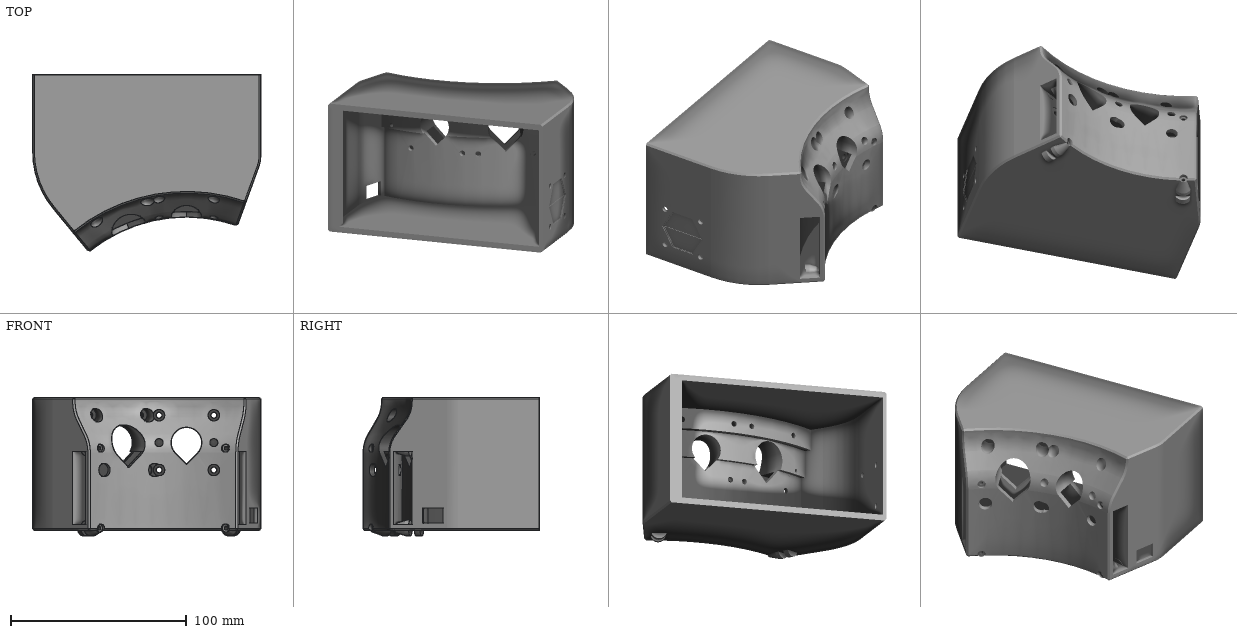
import cadquery as cq
import math


body_width = 129.8
body_height = 75.7
left_x = -87.5
right_x = left_x + body_width
back_y = 168.6
left_angle = 39.5
right_angle = 20.0
left_inset = 0.3
right_inset = 1.0
left_corner_radius = 50.1
right_corner_radius = 18.2
edge_chamfer = 1.0

front_radius = 87.5
brow_angle = 37.0
brow_start = 44.1
brow_arc_height = 10.3
brow_straight_height = 9.0

wall = 2.0
floor_thickness = 3.4
cavity_inner_radius = 90.6
cavity_outer_radius = 102.0
cavity_top = 44.8
rear_wall_radius = 105.1
rear_brow_radius = 107.7
rear_crown_radius = 111.6
crown_start = 60.4

lens_height = 50.0
camera_hole_pitch = 31.1
camera_screw_diameter = 3.2
lower_seat = 101.2
upper_seat = 107.7
main_lens_diameter = 17.3
main_counterbore = 6.5
angled_lens_diameter = 20.1
angled_counterbore = 7.5
angled_camera_angle = 22.0
locating_hole_diameter = 4.5
locating_hole_end = 93.5

boss_diameter = 9.0
boss_drop = 3.1
boss_height_pitch = 45.4
boss_tip_diameter = 3.9
boss_full_radius = 96.0
boss_end = 98.4
boss_rear_start = 101.8
boss_angles = (33.7, -14.6)
boss_counterbore = 4.5
boss_counterbore_end = 89.5
boss_pilot = 2.2

fan_y = back_y - 25.0
fan_height = 23.9
fan_hole_pitch = 24.0
fan_hole_diameter = 3.4
hexagon_across_flats = 24.0
hexagon_depth = 0.3
panel_depth = 0.3
panel_inset = 0.9
panel_bar = 0.4

port_start = 108.2
port_end = 120.7
port_bottom = 4.2
port_top = 12.7

post_width = 5.2

CUT_EXTRA = 6.5


def cheek_x(y, angle, inset):
    """Distance of a side cheek from the Y axis at a given y."""
    a = math.radians(angle)
    return y * math.tan(a) - inset / math.cos(a)


def cheek_y(x, angle, inset):
    """The y at which a side cheek reaches a given distance from the Y axis."""
    a = math.radians(angle)
    return (x + inset / math.cos(a)) / math.tan(a)


def footprint(end_y):
    """Plan outline, with its straight back edge at end_y."""
    nose_y = front_radius / 2
    left_corner = (left_x, cheek_y(-left_x, left_angle, left_inset))
    right_corner = (right_x, cheek_y(right_x, right_angle, right_inset))
    block = (
        cq.Workplane("XY")
        .moveTo(left_x, end_y)
        .lineTo(*left_corner)
        .lineTo(-cheek_x(nose_y, left_angle, left_inset), nose_y)
        .lineTo(cheek_x(nose_y, right_angle, right_inset), nose_y)
        .lineTo(*right_corner)
        .lineTo(right_x, end_y)
        .close()
        .extrude(body_height)
    )
    for corner, radius in ((left_corner, left_corner_radius), (right_corner, right_corner_radius)):
        block = block.edges(cq.selectors.NearestToPointSelector((*corner, body_height / 2))).fillet(radius)
    return block


def front_cutter():
    """Solid of revolution in front of the body, bounded by the S-shaped profile."""
    a = math.radians(brow_angle)
    arc_radius = brow_arc_height / math.sin(a)
    arc_step = arc_radius * (1 - math.cos(a))
    half_height = arc_radius * math.sin(a / 2)
    half_step = arc_radius * (1 - math.cos(a / 2))
    r1 = front_radius + arc_step
    r2 = r1 + brow_straight_height * math.tan(a)
    r3 = r2 + arc_step
    z1 = brow_start + brow_arc_height
    z2 = z1 + brow_straight_height
    z3 = z2 + brow_arc_height
    return (
        cq.Workplane("XZ")
        .lineTo(front_radius, 0)
        .lineTo(front_radius, brow_start)
        .threePointArc((front_radius + half_step, brow_start + half_height), (r1, z1))
        .lineTo(r2, z2)
        .threePointArc((r3 - half_step, z3 - half_height), (r3, z3))
        .lineTo(r3, body_height)
        .lineTo(0, body_height)
        .close()
        .revolve(360, (0, 0, 0), (0, 1, 0))
    )


def ring(inner, outer, bottom, top):
    """Upright tube around the axis."""
    return cq.Workplane("XY").workplane(offset=bottom).circle(outer).circle(inner).extrude(top - bottom)


def radial_pin(diameter, start, end, x, z, angle=0.0):
    """Round bar parallel to the +Y direction turned by angle about the axis."""
    bar = cq.Workplane("XZ", origin=(x, start, z)).circle(diameter / 2).extrude(start - end)
    return bar.rotate((0, 0, 0), (0, 0, 1), angle)


def teardrop(radius, angle):
    """Lens opening: a circle with a 45 degree point at its lower end."""
    side = radius / math.sqrt(2)
    cut = (
        cq.Workplane("XZ", origin=(0, front_radius / 2, lens_height))
        .moveTo(-side, -side)
        .threePointArc((0, radius), (side, -side))
        .lineTo(0, -2 * side)
        .close()
        .extrude(-front_radius)
    )
    return cut.rotate((0, 0, 0), (0, 0, 1), angle)


def camera_station(lens_diameter, counterbore, angle):
    """Lens opening and its four counterbored screw holes."""
    cut = teardrop(lens_diameter / 2, angle)
    half = camera_hole_pitch / 2
    screw_end = rear_crown_radius + CUT_EXTRA
    for x in (-half, half):
        for z, seat in ((lens_height - half, lower_seat), (lens_height + half, upper_seat)):
            cut = cut.union(radial_pin(counterbore, front_radius / 2, seat, x, z, angle))
            cut = cut.union(radial_pin(camera_screw_diameter, seat, screw_end, x, z, angle))
    return cut


def interior():
    """Main chamber behind the rear wall, open at the back."""
    outline = footprint(back_y + wall).faces("<Z").wires().toPending().offset2D(-wall)
    chamber = outline.extrude(body_height - 2 * floor_thickness, combine=False)
    chamber = chamber.translate((0, 0, floor_thickness))
    steps = ((rear_wall_radius, 0), (rear_brow_radius, cavity_top), (rear_crown_radius, crown_start))
    for radius, start in steps:
        chamber = chamber.cut(cq.Workplane("XY").workplane(offset=start).circle(radius).extrude(body_height))
    return chamber


def fan_panel(direction):
    """Trapezoid above (+1) or below (-1) the bar across the hexagon."""
    half_flats = hexagon_across_flats / 2
    slope = 1 / math.sqrt(3)
    long_half = half_flats * 2 * slope - panel_inset
    inner = panel_bar / 2
    outer = half_flats - panel_bar
    return (
        cq.Workplane("YZ", origin=(left_x, fan_y, fan_height))
        .polyline([
            (-long_half + inner * slope, direction * inner),
            (long_half - inner * slope, direction * inner),
            (long_half - outer * slope, direction * outer),
            (-long_half + outer * slope, direction * outer),
        ])
        .close()
        .extrude(hexagon_depth + panel_depth)
    )


def takes_chamfer(edge):
    """True for the rims of top and underside and the cheek edges beside the front, not the back rim."""
    center = edge.Center()
    at_back = center.y > back_y - edge_chamfer
    on_rim = center.z < edge_chamfer / 2 or center.z > body_height - edge_chamfer / 2
    upright = edge.BoundingBox().zlen > edge_chamfer
    beside_front = upright and math.hypot(center.x, center.y) < rear_wall_radius
    return not at_back and (on_rim or beside_front)


def boss_front(z, angle):
    """Front part of a boss, widening backwards and trimmed flush with the concave front."""
    profile = (
        cq.Workplane("XY", origin=(0, 0, z))
        .moveTo(0, front_radius)
        .lineTo(boss_tip_diameter / 2, front_radius)
        .lineTo(boss_diameter / 2, boss_full_radius)
        .lineTo(boss_diameter / 2, boss_end)
        .lineTo(0, boss_end)
        .close()
        .revolve(360, (0, 0, 0), (0, 1, 0))
    )
    return profile.rotate((0, 0, 0), (0, 0, 1), angle).cut(front_cutter())


body = footprint(back_y).cut(front_cutter())
body = body.edges().filter(takes_chamfer).chamfer(edge_chamfer)

post = cq.Workplane("XY").box(post_width + wall, post_width, body_height, centered=False)
post = post.translate((right_x - wall - post_width, back_y - post_width, 0))
body = body.cut(interior().cut(post))

body = body.cut(ring(cavity_inner_radius, cavity_outer_radius, floor_thickness, cavity_top))

boss_low = boss_diameter / 2 - boss_drop
boss_places = [(z, angle) for angle in boss_angles for z in (boss_low, boss_low + boss_height_pitch)]
for z, angle in boss_places:
    body = body.union(boss_front(z, angle))
    body = body.union(radial_pin(boss_diameter, boss_rear_start, rear_wall_radius, 0, z, angle))
for z, angle in boss_places:
    body = body.cut(radial_pin(boss_counterbore, front_radius / 2, boss_counterbore_end, 0, z, angle))
    body = body.cut(radial_pin(boss_pilot, front_radius, rear_brow_radius + CUT_EXTRA, 0, z, angle))

body = body.cut(camera_station(main_lens_diameter, main_counterbore, 0))
body = body.cut(camera_station(angled_lens_diameter, angled_counterbore, angled_camera_angle))
for x in (-camera_hole_pitch / 2, camera_hole_pitch / 2):
    body = body.cut(
        radial_pin(locating_hole_diameter, front_radius / 2, locating_hole_end, x, lens_height))

fan_plane = cq.Workplane("YZ", origin=(left_x, fan_y, fan_height))
body = body.cut(
    fan_plane.rect(fan_hole_pitch, fan_hole_pitch, forConstruction=True)
    .vertices()
    .circle(fan_hole_diameter / 2)
    .extrude(wall)
)
body = body.cut(fan_plane.polygon(6, hexagon_across_flats * 2 / math.sqrt(3)).extrude(hexagon_depth))
for direction in (1, -1):
    body = body.cut(fan_panel(direction))

port = cq.Workplane("XY").box(2 * wall + CUT_EXTRA, port_end - port_start, port_top - port_bottom)
port = port.translate((-right_inset, (port_start + port_end) / 2, (port_bottom + port_top) / 2))
body = body.cut(port.rotate((0, 0, 0), (0, 0, 1), -right_angle))

result = body